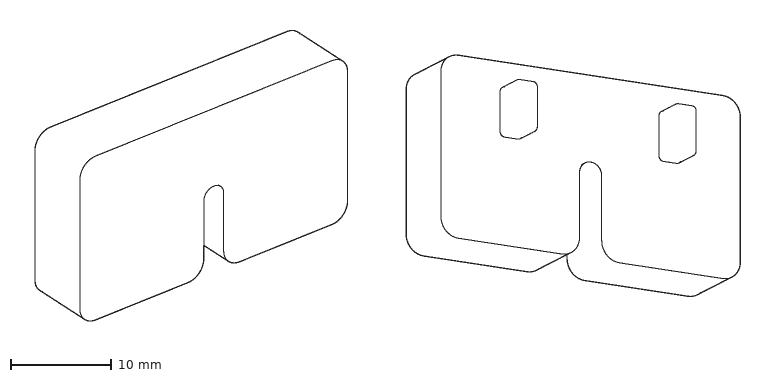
import cadquery as cq

plate_length = 34.0
plate_height = 19.0
plate_thickness = 7.25
corner_radius = 2.0

slot_width = 2.5
slot_height = 10.0

peg_length = 3.5
peg_width = 2.5
peg_height = 5.2
peg_spacing = 18.02
peg_top_gap = 2.6
peg_rounding = 0.5


def make_plate():
    """Block centred on Y, with its pegged face at X = 0 and its bottom at Z = 0."""
    return cq.Workplane("XY").box(
        plate_thickness, plate_length, plate_height, centered=(False, True, False)
    )


def make_slot():
    """Cutter through the full thickness, with a half-round top."""
    end_radius = slot_width / 2
    arc_start_height = slot_height - end_radius
    return (
        cq.Workplane("YZ")
        .moveTo(-end_radius, 0)
        .lineTo(-end_radius, arc_start_height)
        .threePointArc((0, slot_height), (end_radius, arc_start_height))
        .lineTo(end_radius, 0)
        .close()
        .extrude(plate_thickness)
    )


def make_peg(center_y):
    """Peg reaching out along -X, rounded on every edge except at its root."""
    bottom_z = plate_height - peg_top_gap - peg_height
    return (
        cq.Workplane("XY")
        .box(peg_length, peg_width, peg_height, centered=(False, True, False))
        .edges("not >X")
        .fillet(peg_rounding)
        .translate((-peg_length, center_y, bottom_z))
    )


top_and_bottom_corners = "|X and (>Z or <Z)"
result = make_plate().cut(make_slot()).edges(top_and_bottom_corners).fillet(corner_radius)

for side in (-1, 1):
    result = result.union(make_peg(side * peg_spacing / 2))